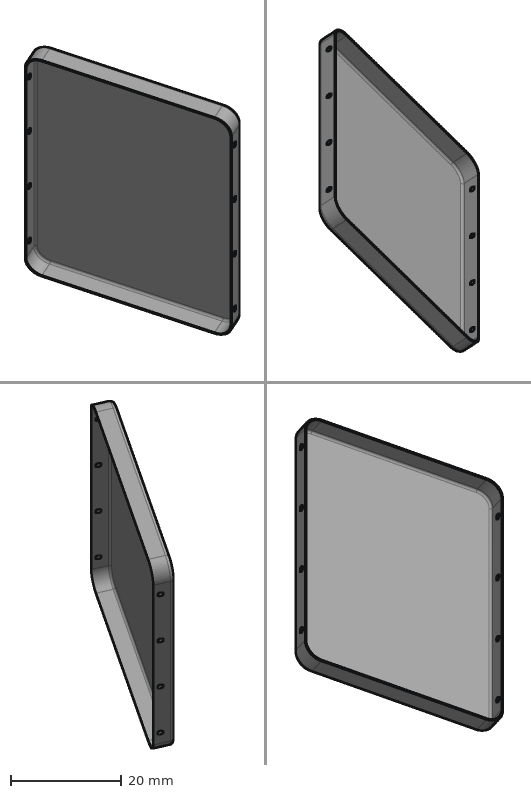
import cadquery as cq

width = 41.4
depth = 4.0
height = 55.4
wall = 0.3
corner_radius = 3.45
back_edge_radius = 0.8

nub_radius = 0.55
nub_height = 0.2
nub_pitch = 14.0
nubs_per_side = 4
nub_from_rim = 1.35


def rounded_block(inset):
    """Block inset on all sides but the rim, with rounded corners and a rounded back edge."""
    return (
        cq.Workplane("XY")
        .box(width - 2 * inset, depth - inset, height - 2 * inset)
        .translate((0, -inset / 2, 0))
        .edges("|Y")
        .fillet(corner_radius - inset)
        .faces(">Y")
        .edges()
        .fillet(back_edge_radius - inset)
    )


def nub_caps(base_offset):
    """Round caps on both long walls, bulging inward from a plane base_offset inside the outer face."""
    ball_radius = (nub_radius**2 + nub_height**2) / (2 * nub_height)
    base_x = width / 2 - base_offset
    nub_y = -depth / 2 + nub_from_rim
    caps = []
    for index in range(nubs_per_side):
        nub_z = (index - (nubs_per_side - 1) / 2) * nub_pitch
        cap = (
            cq.Workplane("XY", origin=(base_x, nub_y, nub_z))
            .lineTo(-nub_height, 0)
            .radiusArc((0, nub_radius), ball_radius)
            .close()
            .revolve(360, (0, 0, 0), (1, 0, 0))
        )
        caps += [cap, cap.mirror("YZ")]
    return caps


tray = rounded_block(0).cut(rounded_block(wall))

for bump in nub_caps(wall):
    tray = tray.union(bump)
for dimple in nub_caps(0):
    tray = tray.cut(dimple)

result = tray